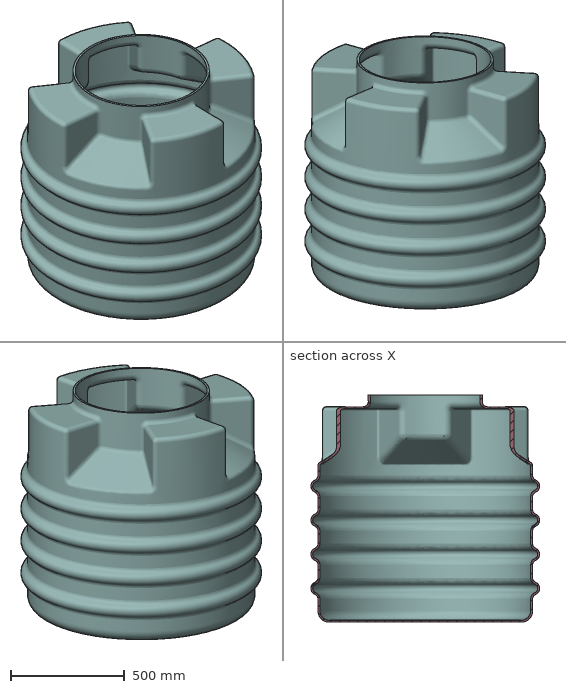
import cadquery as cq
import math

outer_diameter = 1060
body_radius = 1000.0 / 2
neck_radius = 600.0 / 2
total_height = 1000.0
wall = 10.1
base_fillet = 50.0

bead_count = 4
top_bead_height = 600.0
bead_pitch = top_bead_height / bead_count
bead_radius = outer_diameter / 2 - body_radius
bead_blend = 20.0

gap_count = 4
lug_top = 950.0
gap_rim_height = 701.0
gap_floor_slope = math.radians(30)
gap_side_angle = math.radians(30)
gap_apex_offset = 111.0
shoulder_fillet = 20.0

cutter_overlap = 64
gap_inner_radius = neck_radius - cutter_overlap
gap_outer_radius = body_radius + cutter_overlap
edge_search_margin = 3.0
lug_centre_angle = 180 / gap_count


def upright_cylinder(radius, bottom, top):
    """Cylinder on the Z axis with its seam at the middle of a lug, clear of the gaps."""
    cylinder = cq.Workplane("XY").workplane(offset=bottom).circle(radius).extrude(top - bottom)
    return cylinder.rotate((0, 0, 0), (0, 0, 1), lug_centre_angle)


def gap_floor_height(radius):
    """Height of the conical gap floor at a given radius."""
    return gap_rim_height + (body_radius - radius) * math.tan(gap_floor_slope)


def gap_cutter():
    """Wedge of material facing +X, bounded below by the conical floor."""
    ring = (
        cq.Workplane("XZ")
        .moveTo(gap_inner_radius, gap_floor_height(gap_inner_radius))
        .lineTo(gap_outer_radius, gap_floor_height(gap_outer_radius))
        .lineTo(gap_outer_radius, total_height)
        .lineTo(gap_inner_radius, total_height)
        .close()
        .revolve(360, (0, 0, 0), (0, 1, 0))
        .rotate((0, 0, 0), (0, 0, 1), lug_centre_angle)
    )
    half_width = (gap_outer_radius - gap_apex_offset) * math.tan(gap_side_angle)
    wedge = (
        cq.Workplane("XY")
        .moveTo(gap_apex_offset, 0)
        .lineTo(gap_outer_radius, -half_width)
        .lineTo(gap_outer_radius, half_width)
        .close()
        .extrude(total_height)
    )
    return ring.intersect(wedge)


def bead_hoop(height):
    """Half-round hoop standing out from the body wall, with a flat root buried in it."""
    root_radius = body_radius - bead_radius
    return (
        cq.Workplane("XZ")
        .moveTo(root_radius, height - bead_radius)
        .lineTo(body_radius, height - bead_radius)
        .threePointArc((body_radius + bead_radius, height), (body_radius, height + bead_radius))
        .lineTo(root_radius, height + bead_radius)
        .close()
        .revolve(360, (0, 0, 0), (0, 1, 0))
        .rotate((0, 0, 0), (0, 0, 1), lug_centre_angle)
    )


def edges_between(part, bottom, top):
    """Edges of the part whose centres lie between two heights."""
    reach = outer_diameter
    return part.edges(cq.selectors.BoxSelector((-reach, -reach, bottom), (reach, reach, top)))


tank = upright_cylinder(body_radius, 0, lug_top)
tank = tank.faces("<Z").edges().fillet(base_fillet)

for bead in range(1, bead_count + 1):
    bead_height = bead * bead_pitch
    tank = tank.union(bead_hoop(bead_height))
    for root_height in (bead_height - bead_radius, bead_height + bead_radius):
        root_edges = edges_between(tank, root_height - edge_search_margin, root_height + edge_search_margin)
        tank = root_edges.fillet(bead_blend)

for gap in range(gap_count):
    tank = tank.cut(gap_cutter().rotate((0, 0, 0), (0, 0, 1), gap * 360 / gap_count))
tank = tank.union(upright_cylinder(neck_radius, top_bead_height, total_height))

lug_edges = edges_between(tank, gap_rim_height - edge_search_margin, lug_top + edge_search_margin)
tank = lug_edges.fillet(shoulder_fillet)

result = tank.faces(">Z").shell(-wall)